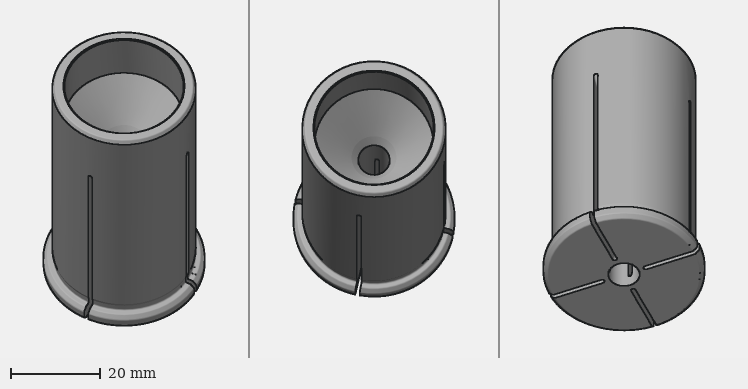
import cadquery as cq
import math

height = 64.0
body_radius = 32.0 / 2
top_chamfer_width = 0.65
top_chamfer_height = 0.9
edge_round = 0.5

flange_radius = 36.0 / 2
flange_shoulder = 3.9
flange_chamfer = 0.95
relief_radius = 15.8
relief_fillet = 0.4
relief_top = 5.45
relief_end = 6.2

socket_radius = 26.5 / 2
socket_floor = 52.1
socket_chamfer = 0.25
countersink_radius = 10.0 / 2
hole_radius = 7.0 / 2
socket_cone_angle = 90.0
countersink_angle = 80.0

slot_count = 4
slot_width = 1.0
slot_top = 49.6
blade_radius = 40.65
blade_z = 17.8
blade_offset = body_radius + math.sqrt(blade_radius**2 - (slot_top - blade_z) ** 2)


def cone_depth(large_radius, small_radius, included_angle):
    """Axial length of a cone narrowing between two radii."""
    return (large_radius - small_radius) / math.tan(math.radians(included_angle / 2))


countersink_z = socket_floor - cone_depth(socket_radius, countersink_radius, socket_cone_angle)
hole_top = countersink_z - cone_depth(countersink_radius, hole_radius, countersink_angle)


def circle_at(radius, z):
    """Select the circular edge of the given radius at height z."""
    margin = 0.05
    outside = cq.selectors.BoxSelector(
        (-radius - margin, -radius - margin, z - margin),
        (radius + margin, radius + margin, z + margin),
        boundingbox=True,
    )
    inner = radius - margin
    inside = cq.selectors.BoxSelector(
        (-inner, -inner, z - margin),
        (inner, inner, z + margin),
        boundingbox=True,
    )
    return outside - inside


def round_chamfers(sleeve):
    """Blend the corners of the flange chamfers and the upper end chamfer."""
    chamfer_corners = [
        (flange_radius - flange_chamfer, 0),
        (flange_radius, flange_chamfer),
        (flange_radius, flange_shoulder - flange_chamfer),
        (flange_radius - flange_chamfer, flange_shoulder),
        (body_radius - top_chamfer_width, height),
    ]
    for radius, z in chamfer_corners:
        sleeve = sleeve.edges(circle_at(radius, z)).fillet(edge_round)
    return sleeve


def make_sleeve():
    """Revolve the complete wall section about Z."""
    fillet_mid = relief_fillet * (1 - math.sqrt(0.5))
    return (
        cq.Workplane("XZ")
        .moveTo(hole_radius, 0)
        .lineTo(flange_radius - flange_chamfer, 0)
        .lineTo(flange_radius, flange_chamfer)
        .lineTo(flange_radius, flange_shoulder - flange_chamfer)
        .lineTo(flange_radius - flange_chamfer, flange_shoulder)
        .lineTo(relief_radius + relief_fillet, flange_shoulder)
        .threePointArc(
            (relief_radius + fillet_mid, flange_shoulder + fillet_mid),
            (relief_radius, flange_shoulder + relief_fillet),
        )
        .lineTo(relief_radius, relief_top)
        .lineTo(body_radius, relief_end)
        .lineTo(body_radius, height - top_chamfer_height)
        .lineTo(body_radius - top_chamfer_width, height)
        .lineTo(socket_radius + socket_chamfer, height)
        .lineTo(socket_radius, height - socket_chamfer)
        .lineTo(socket_radius, socket_floor)
        .lineTo(countersink_radius, countersink_z)
        .lineTo(hole_radius, hole_top)
        .close()
        .revolve(360, (0, 0, 0), (0, 1, 0))
    )


def make_blade():
    """Disc in the XZ plane with a fully rounded edge, beside the +X wall."""
    half_width = slot_width / 2
    flat_radius = blade_radius - half_width
    return (
        cq.Workplane("XY")
        .moveTo(0, -half_width)
        .lineTo(flat_radius, -half_width)
        .threePointArc((blade_radius, 0), (flat_radius, half_width))
        .lineTo(0, half_width)
        .close()
        .revolve(360, (0, 0, 0), (0, 1, 0))
        .translate((blade_offset, 0, blade_z))
    )


result = round_chamfers(make_sleeve())
blade = make_blade()
for index in range(slot_count):
    angle = index * 360 / slot_count
    result = result.cut(blade.rotate((0, 0, 0), (0, 0, 1), angle))